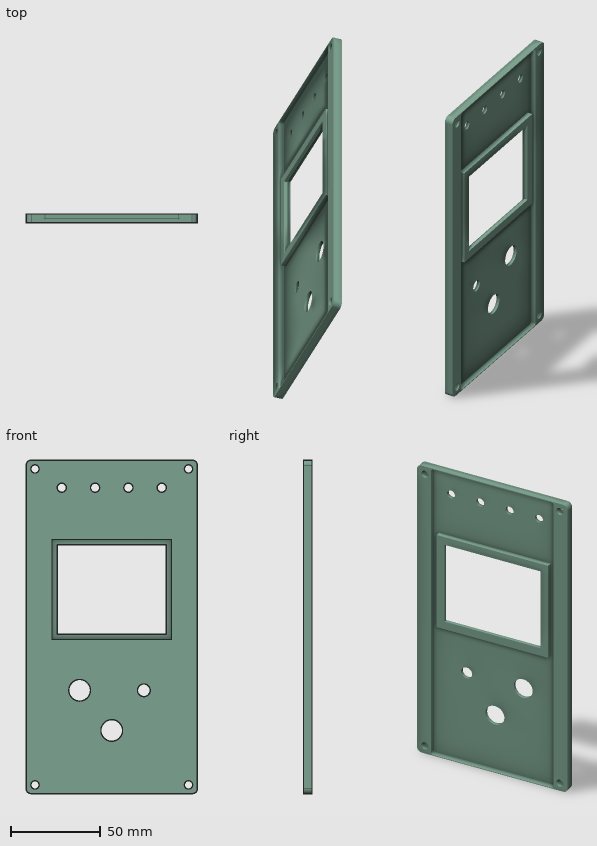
import cadquery as cq

plate_width = 96.0
plate_height = 187.0
plate_thickness = 5.0
plate_corner_radius = 3.0
front_y = -plate_thickness / 2
back_y = plate_thickness / 2

mount_hole_diameter = 4.5
mount_hole_inset = 5.0

indicator_diameter = 5.0
indicator_count = 4
indicator_row_length = 56.0
indicator_pitch = indicator_row_length / (indicator_count - 1)
indicator_z = 78.0

window_width = 61.0
window_height = 50.0
window_z = 21.0
seat_margin = 3.0
seat_depth = 3.0

control_holes = [
    (-18.0, -35.5, 12.0),
    (18.0, -35.5, 7.0),
    (0.0, -58.0, 12.0),
]

pocket_side_wall = 9.0
pocket_end_wall = 0.5
pocket_width = plate_width - 2 * pocket_side_wall
pocket_height = plate_height - 2 * pocket_end_wall
pocket_depth = 3.0
pocket_corner_radius = 1.5
pocket_floor_fillet = 0.5

frame_wall = 2.0
frame_margin = seat_margin + frame_wall


def block(width, height, start_y, depth, z=0.0):
    """Box of the given X and Z size, centred on x = 0, running from start_y towards +Y."""
    return cq.Workplane("XY").box(width, depth, height).translate((0, start_y + depth / 2, z))


def rounded_block(width, height, radius, start_y, depth):
    """Block with its four Y-direction edges rounded."""
    return block(width, height, start_y, depth).edges("|Y").fillet(radius)


def through_hole(x, z, diameter):
    """Cylinder along Y that spans the plate thickness."""
    return (
        cq.Workplane("XZ", origin=(x, back_y, z))
        .circle(diameter / 2)
        .extrude(plate_thickness)
    )


def make_pocket():
    """Pocket volume, leaving out the frame around the window."""
    pocket = rounded_block(
        pocket_width, pocket_height, pocket_corner_radius, back_y - pocket_depth, pocket_depth
    )
    pocket = pocket.faces("<Y").edges().fillet(pocket_floor_fillet)
    frame = block(
        window_width + 2 * frame_margin,
        window_height + 2 * frame_margin,
        back_y - pocket_depth,
        pocket_depth,
        window_z,
    )
    return pocket.cut(frame)


def cut_window(body):
    """Cut the display opening and the wider seat around it."""
    opening = block(window_width, window_height, front_y, plate_thickness, window_z)
    seat = block(
        window_width + 2 * seat_margin, window_height + 2 * seat_margin, front_y, seat_depth, window_z
    )
    return body.cut(opening).cut(seat)


def cut_holes(body):
    """Cut the mounting, indicator and control holes."""
    mount_x = plate_width / 2 - mount_hole_inset
    mount_z = plate_height / 2 - mount_hole_inset
    for x in (-mount_x, mount_x):
        for z in (-mount_z, mount_z):
            body = body.cut(through_hole(x, z, mount_hole_diameter))
    for index in range(indicator_count):
        x = index * indicator_pitch - indicator_row_length / 2
        body = body.cut(through_hole(x, indicator_z, indicator_diameter))
    for x, z, diameter in control_holes:
        body = body.cut(through_hole(x, z, diameter))
    return body


plate = rounded_block(plate_width, plate_height, plate_corner_radius, front_y, plate_thickness)
plate = plate.cut(make_pocket())
plate = cut_window(plate)
result = cut_holes(plate)